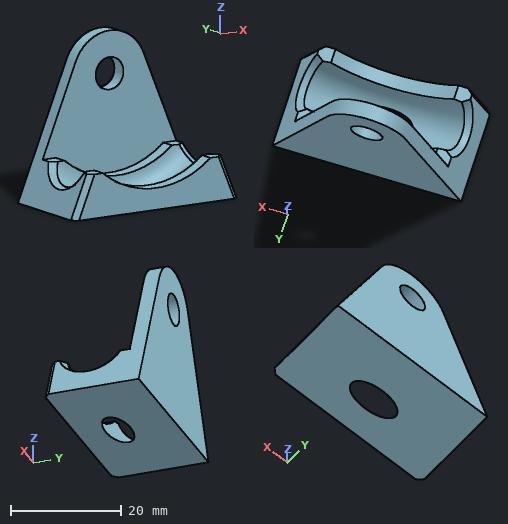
import cadquery as cq
import math

width = 35.95
depth = 18.5
height = 30.5
plate_thickness = 3.02
base_height = 8.25

top_radius = 8.0
pin_diameter = 6.0
pivot_height = height - top_radius

saddle_radius = 18.45
groove_path_radius = 18.15
groove_radius = 4.95
base_depth = depth - plate_thickness
groove_y = base_depth / 2

corner_chamfer = 1.0
groove_chamfer = 1.3


def along_y(start_y):
    """Workplane in X and Z that extrudes towards +Y from start_y."""
    return cq.Workplane(cq.Plane((0, start_y, 0), xDir=(1, 0, 0), normal=(0, -1, 0)))


def pivot_cylinder(radius, start_y, length):
    return along_y(start_y).center(0, pivot_height).circle(radius).extrude(-length)


def make_blank():
    """Sides slope up from the base corners and run tangent into the round top."""
    half_width = width / 2
    corner_distance = math.hypot(half_width, pivot_height)
    tangent_angle = math.acos(top_radius / corner_distance) - math.atan2(pivot_height, half_width)
    tangent_x = top_radius * math.cos(tangent_angle)
    tangent_z = pivot_height + top_radius * math.sin(tangent_angle)
    outline = (
        along_y(0)
        .moveTo(-half_width, 0)
        .lineTo(half_width, 0)
        .lineTo(tangent_x, tangent_z)
        .threePointArc((0, height), (-tangent_x, tangent_z))
        .close()
    )
    body = outline.extrude(-depth)
    above_base = (
        cq.Workplane("XY", origin=(0, 0, base_height))
        .rect(width, 2 * base_depth)
        .extrude(height)
    )
    return body.cut(above_base)


def make_groove():
    """Ring of round section around the pivot axis; it breaks through the base."""
    ring = cq.Solid.makeTorus(
        groove_path_radius,
        groove_radius,
        cq.Vector(0, groove_y, pivot_height),
        cq.Vector(0, 1, 0),
    )
    lower_half = cq.Workplane("XY").box(2 * width, base_depth, 2 * pivot_height)
    return cq.Workplane(ring).intersect(lower_half.translate((0, groove_y, 0)))


body = make_blank()
body = body.cut(pivot_cylinder(saddle_radius, 0, base_depth))
body = body.cut(make_groove())

for end in ("<X", ">X"):
    end_face = body.faces("%PLANE and (not |Z) and (not |Y)").faces(end)
    body = end_face.edges("not %LINE").chamfer(groove_chamfer)

body = body.faces("<Y").edges("%LINE").edges("<X or >X").chamfer(corner_chamfer)

result = body.cut(pivot_cylinder(pin_diameter / 2, base_depth, plate_thickness))